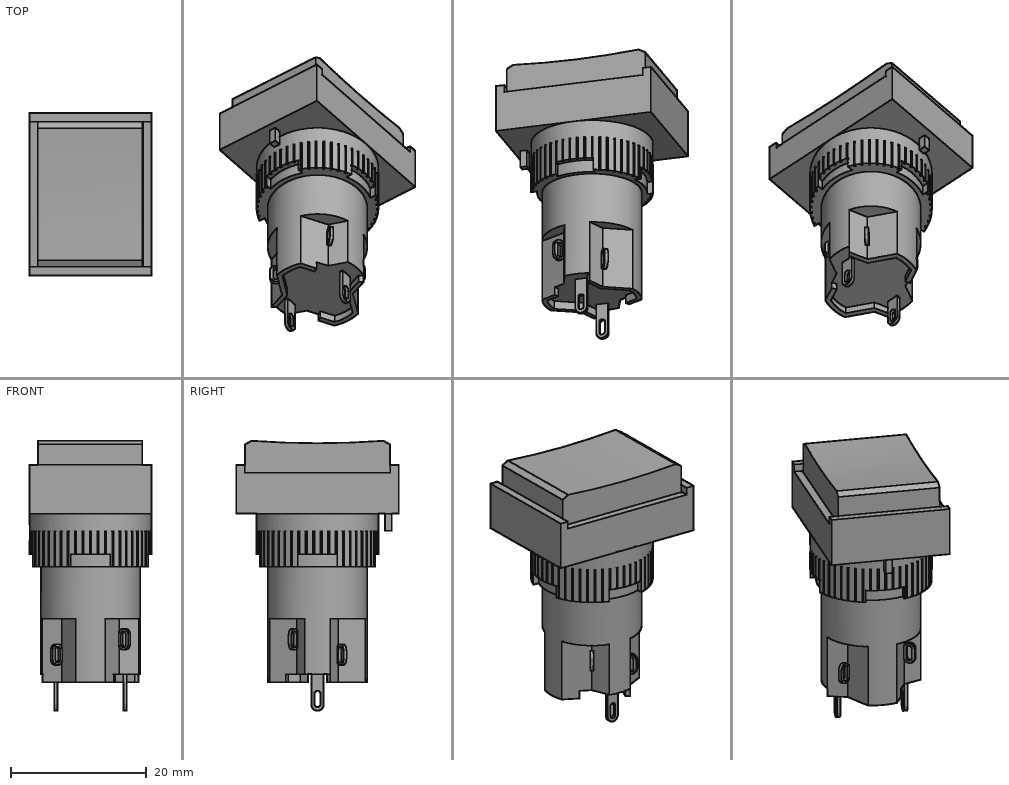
import cadquery as cq
import math


bezel_width = 18.0
bezel_length = 24.0
bezel_bottom = 29.05
bezel_top = 36.2
channel_floor = 35.1
channel_width = 21.4
pocket_floor = 33.83
pocket_width = 15.52

button_gap = 0.1
button_width = pocket_width - button_gap
button_length = channel_width
button_top = 39.8
button_chamfer_run = 1.0
button_chamfer_drop = 0.55
button_dish_depth = 0.35

peg_size = 1.05
peg_length = 2.55
peg_center_y = 10.43

collar_radius = bezel_width / 2
collar_bottom = 21.2
knurl_top = 26.43
knurl_count = 50
knurl_slot_width = 0.22
knurl_slot_depth = 0.28
window_width = 5.8
window_top = 23.1

barrel_radius = 14.7 / 2
clear_radius = 1.2 * barrel_radius
barrel_bottom = 4.18
sleeve_radius = 8.1

notch_top = 13.55
notch_corner = (4.25, 3.02)
notch_edge_x = 2.2
notch_edge_y = 1.9

hollow_top = 5.4
rim_thickness = 0.75
rim_long_end = (6.53, 1.4)
rim_short_end_y = 4.65

terminal_thickness = 0.5
terminal_width = 1.85
terminal_slot_width = 0.88
terminal_slot_length = 2.4
straight_terminal_x = 5.1
straight_slot_bottom = 0.55
side_terminal_height = 3.1
side_terminal_embed = 0.05
side_terminal_low = 8.28
side_terminal_high = 10.55


def box(x_min, x_max, y_min, y_max, z_min, z_max):
    """Axis-aligned block between the given limits."""
    corner = cq.Vector(x_min, y_min, z_min)
    return cq.Workplane(cq.Solid.makeBox(x_max - x_min, y_max - y_min, z_max - z_min, corner))


def cylinder(radius, z_min, z_max):
    """Upright cylinder on the barrel axis."""
    return cq.Workplane("XY", origin=(0, 0, z_min)).circle(radius).extrude(z_max - z_min)


def other_coordinate(radius, coordinate):
    """Positive second coordinate of a point on a circle about the axis."""
    return math.sqrt(radius**2 - coordinate**2)


def line_point_at_y(start, end, y):
    """Point with the given Y on the line through two points."""
    share = (y - start[1]) / (end[1] - start[1])
    return (start[0] + share * (end[0] - start[0]), y)


def line_point_at_x(start, end, x):
    """Point with the given X on the line through two points."""
    share = (x - start[0]) / (end[0] - start[0])
    return (x, start[1] + share * (end[1] - start[1]))


notch_end_a = (other_coordinate(barrel_radius, notch_edge_y), notch_edge_y)
notch_end_b = (notch_edge_x, other_coordinate(barrel_radius, notch_edge_x))


def make_bezel():
    half_width = bezel_width / 2
    half_length = bezel_length / 2
    half_channel = channel_width / 2
    half_pocket = pocket_width / 2
    block = box(-half_width, half_width, -half_length, half_length, bezel_bottom, bezel_top)
    channel = box(-half_width, half_width, -half_channel, half_channel, channel_floor, bezel_top)
    pocket = box(-half_pocket, half_pocket, -half_channel, half_channel, pocket_floor, bezel_top)
    half_peg = peg_size / 2
    peg = box(-half_peg, half_peg, peg_center_y - half_peg, peg_center_y + half_peg,
              bezel_bottom - peg_length, bezel_bottom)
    return block.cut(channel).cut(pocket).union(peg)


def make_collar():
    collar = cylinder(collar_radius, collar_bottom, bezel_bottom)
    slots = (
        cq.Workplane("XY", origin=(0, 0, collar_bottom))
        .polarArray(collar_radius, -90, 360, knurl_count)
        .rect(2 * knurl_slot_depth, knurl_slot_width)
        .extrude(knurl_top - collar_bottom)
    )
    collar = collar.cut(slots)
    half_window = window_width / 2
    for angle in (0, 90, 180, 270):
        window = box(0, collar_radius, -half_window, half_window, collar_bottom, window_top)
        window = window.cut(cylinder(sleeve_radius, collar_bottom, window_top))
        collar = collar.cut(window.rotate((0, 0, 0), (0, 0, 1), angle))
    return collar


def make_notches():
    """V-shaped cutter in each quadrant, open to the barrel surface and end."""
    far_a = line_point_at_x(notch_corner, notch_end_a, clear_radius)
    far_b = line_point_at_y(notch_corner, notch_end_b, clear_radius)
    quadrant = (
        cq.Workplane("XY", origin=(0, 0, barrel_bottom))
        .polyline([notch_corner, far_a, (clear_radius, clear_radius), far_b])
        .close()
        .extrude(notch_top - barrel_bottom)
    )
    half = quadrant.union(quadrant.mirror("YZ"))
    return half.union(half.mirror("XZ"))


def make_rim_blank():
    """Blank of the rim wall on the +Y side: an outer arc with a short leg and a long leg."""
    inner_radius = barrel_radius - rim_thickness
    corner = cq.Vector(*notch_corner)
    long_end = cq.Vector(*rim_long_end)
    direction_a = cq.Vector(*notch_end_a) - corner
    direction_b = (cq.Vector(*notch_end_b) - corner).normalized()
    inward_b = cq.Vector(-direction_b.y, direction_b.x) * rim_thickness

    gap = corner + inward_b - long_end
    share = gap.cross(direction_b).z / direction_a.cross(direction_b).z
    inner_corner = long_end + direction_a * share

    along = inner_corner.dot(direction_b)
    reach = math.sqrt(along**2 - inner_corner.dot(inner_corner) + inner_radius**2) - along
    inner_end = inner_corner + direction_b * reach

    short_outer = line_point_at_y(notch_corner, notch_end_b, rim_short_end_y)
    short_inner = cq.Vector(*short_outer) + inward_b

    outer_b = line_point_at_y(notch_corner, notch_end_b, clear_radius)

    return (
        cq.Workplane("XY", origin=(0, 0, barrel_bottom))
        .moveTo(*notch_corner)
        .lineTo(*outer_b)
        .lineTo(-outer_b[0], outer_b[1])
        .lineTo(-short_outer[0], short_outer[1])
        .lineTo(-short_inner.x, short_inner.y)
        .lineTo(-inner_end.x, inner_end.y)
        .threePointArc((0, inner_radius), (inner_end.x, inner_end.y))
        .lineTo(inner_corner.x, inner_corner.y)
        .lineTo(*rim_long_end)
        .lineTo(*notch_end_a)
        .close()
        .extrude(hollow_top - barrel_bottom)
    )


def make_barrel():
    rim_blank = make_rim_blank()
    hollow = cylinder(clear_radius, barrel_bottom, hollow_top)
    hollow = hollow.cut(rim_blank).cut(rim_blank.rotate((0, 0, 0), (0, 0, 1), 180))
    return cylinder(barrel_radius, barrel_bottom, bezel_bottom).cut(make_notches()).cut(hollow)


def make_straight_terminal(x):
    """Slotted lug with a rounded tip, standing below the barrel."""
    tip_radius = terminal_width / 2
    lug = (
        cq.Workplane("YZ", origin=(x - terminal_thickness / 2, 0, 0))
        .moveTo(-tip_radius, hollow_top)
        .lineTo(-tip_radius, tip_radius)
        .threePointArc((0, 0), (tip_radius, tip_radius))
        .lineTo(tip_radius, hollow_top)
        .close()
        .extrude(terminal_thickness)
    )
    slot = (
        cq.Workplane("YZ", origin=(x - terminal_thickness / 2, 0, 0))
        .center(0, straight_slot_bottom + terminal_slot_length / 2)
        .slot2D(terminal_slot_length, terminal_slot_width, 90)
        .extrude(terminal_thickness)
    )
    return lug.cut(slot)


def make_side_terminal(side_x, side_y, center_z):
    """Slotted lug standing out radially from the corner of one notch."""
    corner_radius = math.hypot(*notch_corner)
    angle = math.degrees(math.atan2(side_y * notch_corner[1], side_x * notch_corner[0]))
    center_radius = corner_radius - side_terminal_embed + terminal_width / 2
    lug = (
        cq.Workplane("XZ", origin=(center_radius, 0, center_z))
        .slot2D(side_terminal_height, terminal_width, 90)
        .slot2D(terminal_slot_length, terminal_slot_width, 90)
        .extrude(terminal_thickness / 2, both=True)
    )
    return lug.rotate((0, 0, 0), (0, 0, 1), angle)


def make_housing():
    housing = make_bezel().union(make_collar()).union(make_barrel())
    for side in (-1, 1):
        housing = housing.union(make_straight_terminal(side * straight_terminal_x))
        housing = housing.union(make_side_terminal(side, side, side_terminal_low))
        housing = housing.union(make_side_terminal(side, -side, side_terminal_high))
    return housing


def make_button():
    """Block with chamfered ends and a shallow dished top, seated in the bezel pocket."""
    half_length = button_length / 2
    crest = half_length - button_chamfer_run
    shoulder = button_top - button_chamfer_drop
    return (
        cq.Workplane("YZ", origin=(-pocket_width / 2, 0, 0))
        .moveTo(-half_length, pocket_floor)
        .lineTo(half_length, pocket_floor)
        .lineTo(half_length, shoulder)
        .lineTo(crest, button_top)
        .threePointArc((0, button_top - button_dish_depth), (-crest, button_top))
        .lineTo(-half_length, shoulder)
        .close()
        .extrude(button_width)
    )


housing = make_housing()
button = make_button()
result = cq.Compound.makeCompound([housing.val(), button.val()])